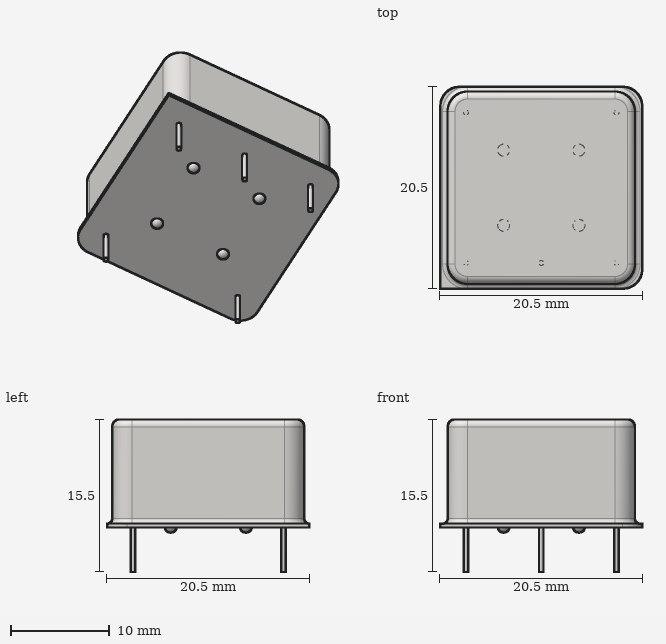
import cadquery as cq

plate_side = 20.5
plate_thickness = 0.4
overall_height = 15.5
pin_length = 4.5
body_height = overall_height - pin_length
corner_radius = 2.0

can_length_x = 19.0
can_length_y = 19.5
can_rim_radius = 0.75
foot_radius = (plate_side - can_length_y) / 2
foot_margin = 2.05

pin_diameter = 0.5
pin_offset = 7.63
bead_radius = 0.62
bead_drop = 0.51
bead_offset = pin_offset / 2


def plate_prism(height):
    """Square plate outline, raised to a height; the -X -Y corner stays sharp to mark pin 1."""
    prism = cq.Workplane("XY").rect(plate_side, plate_side).extrude(height)
    round_corners = prism.edges("(>X and >Y) or (>X and <Y) or (<X and >Y)")
    return round_corners.edges("|Z").fillet(corner_radius)


def make_can():
    """Upright can with rounded corners and a rounded top rim."""
    can = cq.Workplane("XY").rect(can_length_x, can_length_y).extrude(body_height)
    can = can.edges("|Z").fillet(corner_radius)
    return can.faces(">Z").edges().fillet(can_rim_radius)


def make_body():
    """Can flaring out onto the plate, made on an oversized slab and trimmed to the plate outline."""
    slab_side = plate_side + 2 * foot_margin
    slab = cq.Workplane("XY").rect(slab_side, slab_side).extrude(plate_thickness)
    body = slab.union(make_can())
    joint_half_x = (can_length_x + foot_radius) / 2
    joint_half_y = (can_length_y + foot_radius) / 2
    joint_edges = body.edges(
        cq.selectors.BoxSelector(
            (-joint_half_x, -joint_half_y, plate_thickness / 2),
            (joint_half_x, joint_half_y, plate_thickness * 1.5),
        )
    )
    return joint_edges.fillet(foot_radius).intersect(plate_prism(body_height))


def square_spots(offset):
    """Four points at the corners of a square centred on the plate."""
    return [(x, y) for x in (-offset, offset) for y in (-offset, offset)]


def make_pins():
    """Four corner pins and one in the middle of the -Y row, reaching through the plate."""
    spots = square_spots(pin_offset) + [(0, -pin_offset)]
    pins = cq.Workplane("XY").workplane(offset=-pin_length).pushPoints(spots)
    return pins.circle(pin_diameter / 2).extrude(pin_length + plate_thickness)


def make_beads():
    """Ball-shaped stand-offs sunk into the plate, leaving a dome below it."""
    bead_centre_height = bead_radius - bead_drop
    beads = cq.Workplane("XY").workplane(offset=bead_centre_height)
    return beads.pushPoints(square_spots(bead_offset)).sphere(bead_radius)


result = make_body().union(make_pins()).union(make_beads())